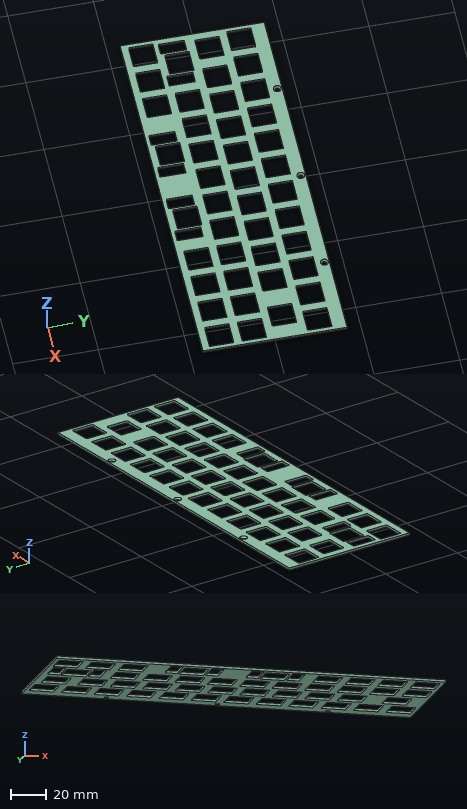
import cadquery as cq

UNIT = 19.05
COLUMNS = 12
ROWS = 4

THICKNESS = 1.5
BOTTOM_MARGIN = 2.0
TOP_MARGIN = 6.0
LENGTH = COLUMNS * UNIT
WIDTH = BOTTOM_MARGIN + ROWS * UNIT + TOP_MARGIN

SWITCH_SIZE = 14.0
SWITCH_CORNER_RADIUS = 0.5

STABILISER_LENGTH = 7.0
STABILISER_WIDTH = 15.0
STABILISER_SPACING = 23.876
STABILISER_DROP = 1.5
STABILISER_CORNER_RADIUS = 0.5

SCREW_DIAMETER = 2.4
SCREW_HEAD_DIAMETER = 4.4
COUNTERSINK_ANGLE = 90
SCREW_SPACING = 65.0
SCREW_EDGE_DISTANCE = 3.0

KEY_ROWS = [
    [1] * 12,
    [1.25] + [1] * 9 + [1.75],
    [2] + [1] * 10,
    [1, 1, 1, 2.75, 2.25, 1, 1, 1, 1],
]
STABILISED_KEY_MIN_WIDTH = 2


def key_centres(min_width=0):
    """Centres of all keys at least min_width units wide."""
    centres = []
    for row, key_widths in enumerate(KEY_ROWS):
        y = WIDTH / 2 - TOP_MARGIN - (row + 0.5) * UNIT
        left = -LENGTH / 2
        for key_width in key_widths:
            if key_width >= min_width:
                centres.append((left + key_width * UNIT / 2, y))
            left += key_width * UNIT
    return centres


def rounded_openings(centres, length, width, corner_radius):
    """Rounded rectangular cutters through the plate thickness."""
    cutters = cq.Workplane("XY").pushPoints(centres).rect(length, width).extrude(THICKNESS)
    return cutters.edges("|Z").fillet(corner_radius)


def switch_openings():
    return rounded_openings(key_centres(), SWITCH_SIZE, SWITCH_SIZE, SWITCH_CORNER_RADIUS)


def stabiliser_openings():
    centres = [
        (x + side * STABILISER_SPACING / 2, y - STABILISER_DROP)
        for x, y in key_centres(STABILISED_KEY_MIN_WIDTH)
        for side in (-1, 1)
    ]
    return rounded_openings(centres, STABILISER_LENGTH, STABILISER_WIDTH, STABILISER_CORNER_RADIUS)


def add_screw_holes(plate):
    y = WIDTH / 2 - SCREW_EDGE_DISTANCE
    centres = [(position * SCREW_SPACING, y) for position in (-1, 0, 1)]
    top = cq.Workplane("XY", origin=(0, 0, THICKNESS)).add(plate)
    return top.pushPoints(centres).cskHole(SCREW_DIAMETER, SCREW_HEAD_DIAMETER, COUNTERSINK_ANGLE)


plate = cq.Workplane("XY").box(LENGTH, WIDTH, THICKNESS, centered=(True, True, False))
plate = plate.cut(switch_openings()).cut(stabiliser_openings())
result = add_screw_holes(plate)